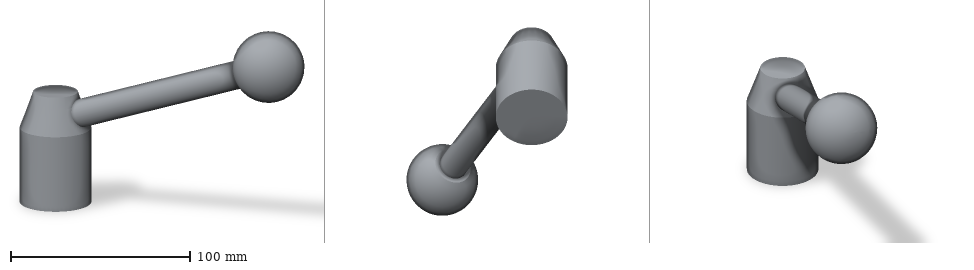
import cadquery as cq
import math

hub_diameter = 40.0
hub_top_diameter = 25.0
hub_straight_height = 43.3
hub_height = 64.1

overall_length = 173.2
overall_height = 116.2
ball_diameter = hub_diameter
ball_flat_diameter = 21.0

rod_diameter = 16.0
rod_angle = 20.0

ball_radius = ball_diameter / 2
ball_x = overall_length - hub_diameter / 2 - ball_radius
ball_z = overall_height - ball_radius
rod_length = ball_x / math.cos(math.radians(rod_angle))
flat_distance = math.sqrt(ball_radius**2 - (ball_flat_diameter / 2) ** 2)


def make_hub():
    profile = [
        (0, 0),
        (hub_diameter / 2, 0),
        (hub_diameter / 2, hub_straight_height),
        (hub_top_diameter / 2, hub_height),
        (0, hub_height),
    ]
    return cq.Workplane("XZ").polyline(profile).close().revolve(360, (0, 0), (0, 1))


def make_lever():
    """Rod and ball along X with the ball centre at the origin, then tilted into place."""
    rod = cq.Workplane("YZ").circle(rod_diameter / 2).extrude(-rod_length)
    ball = (
        cq.Workplane("XY")
        .moveTo(-flat_distance, 0)
        .lineTo(-flat_distance, ball_flat_diameter / 2)
        .threePointArc((0, ball_radius), (ball_radius, 0))
        .close()
        .revolve(360, (0, 0), (1, 0))
    )
    lever = rod.union(ball)
    return lever.rotate((0, 0, 0), (0, 1, 0), -rod_angle).translate((ball_x, 0, ball_z))


result = make_hub().union(make_lever())